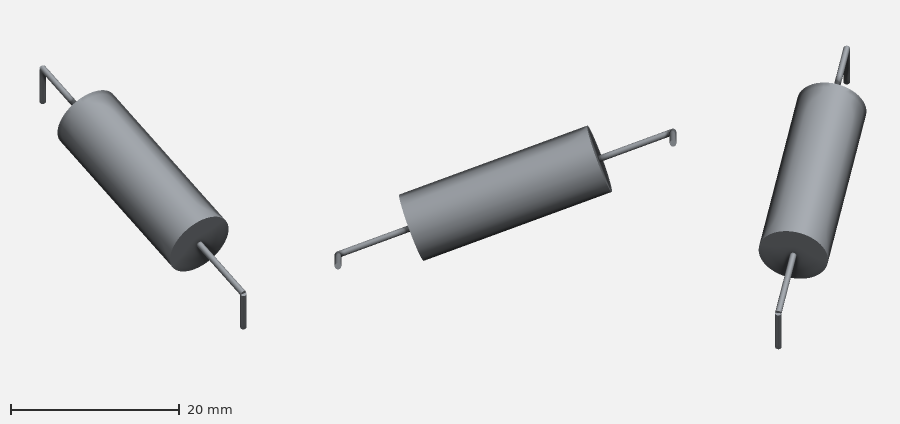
import cadquery as cq

overall_length = 43.25
body_diameter = 8.4
body_length = 23.85
lead_diameter = 0.8
lead_drop = 6.1

lead_radius = lead_diameter / 2
body_end = body_length / 2
bend_x = overall_length / 2 - lead_radius


def make_body():
    """Plain cylindrical body lying along X."""
    return (
        cq.Workplane("YZ", origin=(-body_end, 0, 0))
        .circle(body_diameter / 2)
        .extrude(body_length)
    )


def make_lead(side):
    """Bent wire lead on one end of the body: side is -1 for -X, +1 for +X."""
    horizontal_wire = (
        cq.Workplane("YZ", origin=(side * body_end, 0, 0))
        .circle(lead_radius)
        .extrude(side * (bend_x - body_end))
    )
    vertical_leg = (
        cq.Workplane("XY", origin=(side * bend_x, 0, 0))
        .circle(lead_radius)
        .extrude(-lead_drop)
    )
    return horizontal_wire.union(vertical_leg)


body = make_body()
leads = [make_lead(side) for side in (-1, 1)]

result = cq.Compound.makeCompound([body.val(), *[lead.val() for lead in leads]])